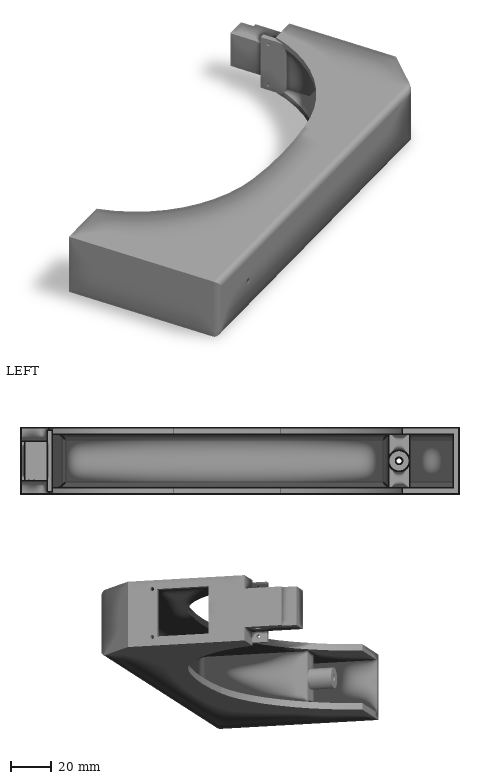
import cadquery as cq
import math

width = 106.0
length = 216.5
height = 33.0
mid_z = height / 2
plate_thickness = 3.2
wall = 2.8
back_wall = 3.0
edge_radius = 3.2
inner_radius = 2.8

foot_x = 21.5
foot_top_y = 28.1
arm_x = 26.2
arm_bottom_y = 202.5
corner_cut = 19.7
throat_x = 78.1
throat_y = 114.7
throat_shoulder_x = 76.4
throat_half_length = 26.5
lower_bow = (61.9, 54.0)
upper_bow = (60.4, 179.6)

tongue_z = 6.7
tongue_height = height - 2 * tongue_z
tongue_y = 203.5
tongue_step_x = 7.1
tongue_step_y = 2.0
block_end_x = 44.8
pin_x = 20.8
pin_y = 211.2
pin_diameter = 2.8

cover_start_x = 18.6
cover_end_x = 32.2
cover_y = 200.8
cover_inset_z = 1.3
screw_diameter = 2.0
cover_screw_x = 23.0
screw_z = 4.3

window_end_x = 71.5
window_z = 4.5
window_screw_x = 73.8

rib_start_y = 24.5
rib_end_y = 34.8
rib_x = 47.5
boss_x = 35.5
boss_y = (rib_start_y + rib_end_y) / 2
boss_diameter = rib_end_y - rib_start_y
boss_hole_diameter = 3.2


def box(x0, x1, y0, y1, z0, z1):
    """Box between two opposite corners."""
    return cq.Workplane("XY").box(x1 - x0, y1 - y0, z1 - z0, centered=False).translate((x0, y0, z0))


def blank():
    """Solid body before the throat is cut, with a rounded +X face."""
    outline = [
        (foot_x, 0),
        (width, 0),
        (width, length - corner_cut),
        (width - corner_cut, length),
        (foot_x, length),
    ]
    body = cq.Workplane("XY").polyline(outline).close().extrude(height)
    return body.faces(">X").edges().fillet(edge_radius)


def throat():
    """Three-arc throat, open on the -X side."""
    clear_x = -foot_x
    cutter = (
        cq.Workplane("XY")
        .moveTo(clear_x, foot_top_y)
        .lineTo(foot_x, foot_top_y)
        .threePointArc(lower_bow, (throat_shoulder_x, throat_y - throat_half_length))
        .threePointArc((throat_x, throat_y), (throat_shoulder_x, throat_y + throat_half_length))
        .threePointArc(upper_bow, (arm_x, arm_bottom_y))
        .lineTo(arm_x, length)
        .lineTo(clear_x, length)
        .close()
        .extrude(height)
    )
    return cutter


def cavity_part(start_y, end_y):
    """Part of the hollow between two Y limits, following the cut corner."""
    floor_x = width - back_wall
    corner_sum = width + length - corner_cut - back_wall * math.sqrt(2)
    outline = [(0, start_y), (floor_x, start_y)]
    if end_y > corner_sum - floor_x:
        outline += [(floor_x, corner_sum - floor_x), (corner_sum - end_y, end_y)]
    else:
        outline += [(floor_x, end_y)]
    outline += [(0, end_y)]
    depth = height - 2 * plate_thickness
    return cq.Workplane("XY").workplane(offset=plate_thickness).polyline(outline).close().extrude(depth)


def cavity():
    """Hollow on both sides of the rib, rounded where it meets the back wall."""
    main = cavity_part(rib_end_y, length - wall).faces(">X").edges().fillet(inner_radius)
    foot = cavity_part(wall, rib_start_y).faces(">X").edges("|Y").fillet(inner_radius)
    rib_front = box(0, rib_x, wall, rib_end_y, plate_thickness, height - plate_thickness)
    return main.union(foot).union(rib_front)


def x_cylinder(diameter, start_x, end_x):
    """Cylinder along X on the boss axis."""
    base = cq.Workplane("YZ", origin=(start_x, boss_y, mid_z))
    return base.circle(diameter / 2).extrude(end_x - start_x)


def tongue():
    """Tongue with a stepped tip, its thicker root in the arm, and a vertical pin hole."""
    bar = box(0, block_end_x, tongue_y, length, tongue_z, tongue_z + tongue_height)
    root = box(arm_x, block_end_x, tongue_y, length, plate_thickness, height - plate_thickness)
    step = box(0, tongue_step_x, length - tongue_step_y, length, 0, height)
    pin = cq.Workplane("XY").center(pin_x, pin_y).circle(pin_diameter / 2).extrude(height)
    return bar.union(root).cut(step).cut(pin)


def y_screw_holes(x, start_y, end_y):
    """Upper and lower screw holes along Y."""
    base = cq.Workplane("XZ", origin=(x, end_y, mid_z))
    offset = mid_z - screw_z
    holes = base.pushPoints([(0, -offset), (0, offset)])
    return holes.circle(screw_diameter / 2).extrude(end_y - start_y)


def cover():
    """Thin plate under the tongue with two screw holes."""
    plate = box(cover_start_x, cover_end_x, cover_y, tongue_y, cover_inset_z, height - cover_inset_z)
    return plate.cut(y_screw_holes(cover_screw_x, cover_y, tongue_y))


window = box(block_end_x, window_end_x, length - wall, length, window_z, height - window_z)

result = (
    blank()
    .cut(cavity())
    .cut(throat())
    .cut(window)
    .cut(y_screw_holes(window_screw_x, length - wall, length))
    .union(x_cylinder(boss_diameter, boss_x, width - back_wall))
    .cut(x_cylinder(boss_hole_diameter, boss_x, width))
    .union(tongue())
    .union(cover())
)